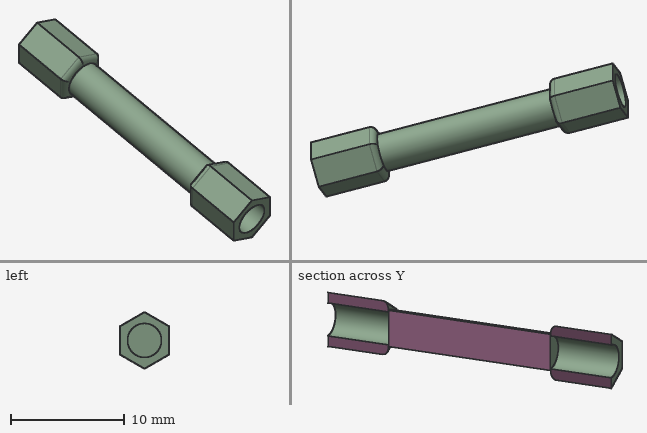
import cadquery as cq
import math

total_length = 28.0
hex_across_flats = 4.35
hex_length = 6.0
bore_diameter = 3.0
rod_diameter = 3.4
inner_edge_radius = 0.6

hex_across_corners = hex_across_flats / math.cos(math.radians(30))
rod_length = total_length - 2 * hex_length
half_rod_length = rod_length / 2


def make_hex_end(side):
    """Bored hex sleeve along X with its rounded face against the rod; side is -1 or +1."""
    inner_plane = cq.Plane(
        origin=(side * half_rod_length, 0, 0), xDir=(0, 0, 1), normal=(side, 0, 0)
    )
    body = cq.Workplane(inner_plane).polygon(6, hex_across_corners).extrude(hex_length)
    inner_face = "<X" if side > 0 else ">X"
    body = body.faces(inner_face).edges().fillet(inner_edge_radius)
    bore = cq.Workplane(inner_plane).circle(bore_diameter / 2).extrude(hex_length)
    return body.cut(bore)


def make_rod():
    """Plain round rod along X that closes the inner end of both bores."""
    return (
        cq.Workplane("YZ")
        .workplane(offset=-half_rod_length)
        .circle(rod_diameter / 2)
        .extrude(rod_length)
    )


hex_ends = [make_hex_end(side) for side in (-1, 1)]
rod = make_rod()

result = cq.Compound.makeCompound([rod.val(), *[end.val() for end in hex_ends]])